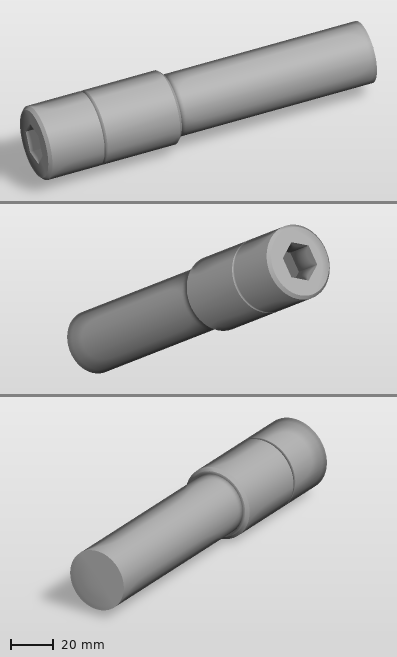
import cadquery as cq
import math

total_length = 168.0
head_diameter = 36.0
shank_diameter = 30.0
head_length = 28.0
sleeve_length = 40.0
edge_chamfer = 1.5
socket_across_flats = 17.0
socket_depth = 15.0

shank_length = total_length - head_length
socket_across_corners = socket_across_flats / math.cos(math.pi / 6)
head_face_y = -total_length / 2
head_seat_y = head_face_y + head_length


def plane_at(y):
    """Plane across the axis at y, facing +Y, with its local X along global X."""
    return cq.Workplane(cq.Plane(origin=(0, y, 0), xDir=(1, 0, 0), normal=(0, 1, 0)))


def make_bolt():
    """Cylindrical head with a hexagon socket, and a plain shank."""
    head = plane_at(head_face_y).circle(head_diameter / 2).extrude(head_length)
    head = head.faces("<Y").chamfer(edge_chamfer)
    shank = plane_at(head_seat_y).circle(shank_diameter / 2).extrude(shank_length)
    socket = plane_at(head_face_y).polygon(6, socket_across_corners).extrude(socket_depth)
    return head.union(shank).cut(socket)


def make_sleeve():
    """Sleeve around the shank, against the head, chamfered at both outer edges."""
    sleeve = plane_at(head_seat_y).circle(head_diameter / 2).extrude(sleeve_length)
    sleeve = sleeve.faces("<Y or >Y").chamfer(edge_chamfer)
    bore = plane_at(head_seat_y).circle(shank_diameter / 2).extrude(sleeve_length)
    return sleeve.cut(bore)


bolt = make_bolt()
sleeve = make_sleeve()
result = cq.Compound.makeCompound([bolt.val(), sleeve.val()])